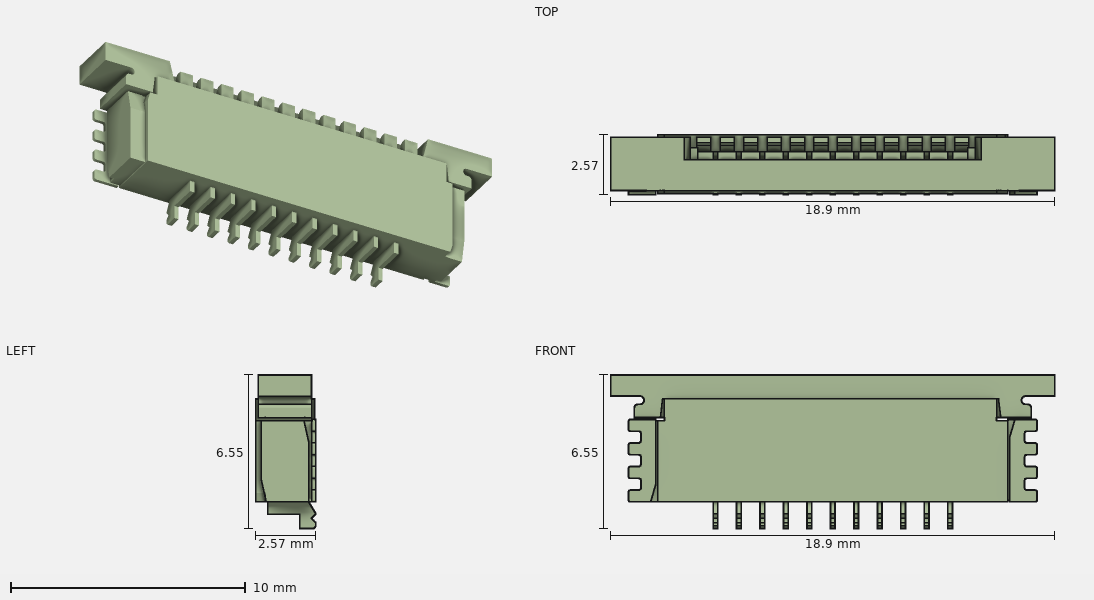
import cadquery as cq
import math


HOUSING_HALF_WIDTH = 7.45
HOUSING_FRONT_Y = 0.05
HOUSING_BACK_Y = 2.57
HOUSING_TOP_Z = 4.4
SHOULDER_Z = 3.46
HEAD_LEFT_X = -7.17
HEAD_RIGHT_X = 6.99
CORNER_CUT_WIDTH = 0.11
CORNER_CUT_HEIGHT = 0.38
CORNER_CUT_FRONT_Y = 2.15

BAR_LENGTH = 18.93
BAR_HALF_LENGTH = BAR_LENGTH / 2
BAR_TOP_Z = 5.41
BAR_HEIGHT = 0.9
BAR_BOTTOM_Z = BAR_TOP_Z - BAR_HEIGHT
BAR_FRONT_Y = 0.19
BAR_BACK_Y = 2.46
TAB_OUTER_X = 8.46
TAB_BOTTOM_Z = 3.6
TAB_CORNER_RADIUS = 0.17
TAB_CLEARANCE_TOP = 0.08
TAB_CLEARANCE_BOTTOM = 0.17
GRIP_EDGE_X = 8.2
GRIP_DEPTH = 0.15
GRIP_HEIGHT = 0.35
WEB_FRONT_Y = 0.47
WEB_BACK_Y = 2.15

WINDOW_HALF_WIDTH_TOP = 6.32
WINDOW_HALF_WIDTH_BOTTOM = 6.08
WINDOW_FRONT_Y = 1.5
LEDGE_INNER_X = 5.75
LEDGE_BACK_Y = 2.0
LEDGE_TOP_Z = 4.85
TONGUE_BACK_Y = 1.84
TONGUE_TOP_Z = 4.92

CONTACT_COUNT = 11
CONTACT_PITCH = 1.0
CONTACT_WIDTH = 0.2
CONTACT_ROOT_Z = 0.19
TAIL_FRONT_Y = 0.3
TAIL_BACK_Y = 2.06
TAIL_STEP_Z = -0.53
FOOT_BACK_Y = 0.7
FOOT_BOTTOM_Z = -1.14
FOOT_BEVEL_WIDTH = 0.1
FOOT_BEVEL_HEIGHT = 0.11
FOOT_UPPER_POINT_Z = -0.51
FOOT_LOWER_POINT_Z = -0.89
FOOT_NOTCH_DEPTH = 0.19
FINGER_WIDTH = 0.6
FINGER_TOP_Z = 5.05
FINGER_STEP_Y = 2.12
FINGER_STEP_Z = 5.0
FINGER_FLAT_Y = 2.23

NAIL_INNER_X = 7.53
NAIL_OUTER_X = 8.7
NAIL_HEIGHT = 3.52
NAIL_THICKNESS = 0.17
NAIL_TOOTH_COUNT = 4
NAIL_TOOTH_PITCH = 1.0
NAIL_TOOTH_HEIGHT = NAIL_HEIGHT - NAIL_TOOTH_PITCH * (NAIL_TOOTH_COUNT - 1)
NAIL_SLOT_BOTTOM_X = 8.18
NAIL_CORNER_RADIUS = 0.1
NAIL_BEVEL_WIDTH = 0.23
NAIL_BEVEL_HEIGHT = 0.78
WING_FRONT_Y = 0.3
WING_BACK_Y = 2.33
WING_TAPER = 0.2
WING_TAPER_HEIGHT = 0.95
NECK_OUTER_X = 7.95


def box(x0, x1, y0, y1, z0, z1):
    """Axis-aligned block between two opposite corners."""
    return cq.Workplane("XY").box(x1 - x0, y1 - y0, z1 - z0, centered=False).translate((x0, y0, z0))


def extrude_along_y(points, y0, y1):
    """Prism between y0 and y1 from an outline of (x, z) points."""
    return cq.Workplane("XZ", origin=(0, y0, 0)).polyline(points).close().extrude(y0 - y1)


def extrude_along_x(points, x0, x1):
    """Prism between x0 and x1 from an outline of (y, z) points."""
    return cq.Workplane("YZ", origin=(x0, 0, 0)).polyline(points).close().extrude(x1 - x0)


def row_positions(count):
    """X positions of a centred row at the contact pitch."""
    return [(i - (count - 1) / 2) * CONTACT_PITCH for i in range(count)]


def turn_about_y(body, height):
    """Turn a left-hand body half a turn about Y so that its 0..height span stays in place."""
    return body.rotate((0, 0, height / 2), (0, 1, height / 2), 180)


def make_housing():
    """Stepped block, with a sloping cut on one rear corner of each side."""
    body = box(-HOUSING_HALF_WIDTH, HOUSING_HALF_WIDTH, HOUSING_FRONT_Y, HOUSING_BACK_Y, 0, SHOULDER_Z)
    head = box(HEAD_LEFT_X, HEAD_RIGHT_X, HOUSING_FRONT_Y, HOUSING_BACK_Y, 0, HOUSING_TOP_Z)
    corner_cut = extrude_along_y(
        [
            (-HOUSING_HALF_WIDTH, 0),
            (-HOUSING_HALF_WIDTH + CORNER_CUT_WIDTH, 0),
            (-HOUSING_HALF_WIDTH, CORNER_CUT_HEIGHT),
        ],
        CORNER_CUT_FRONT_Y,
        HOUSING_BACK_Y,
    )
    return body.union(head).cut(corner_cut).cut(turn_about_y(corner_cut, SHOULDER_Z))


def make_tab(head_x):
    """Right-hand actuator end and tab, next to the housing head edge at head_x."""
    grip_bottom_z = BAR_BOTTOM_Z - GRIP_HEIGHT
    corner_mid = TAB_CORNER_RADIUS * (1 - math.sqrt(0.5))
    return (
        cq.Workplane("XZ", origin=(0, BAR_FRONT_Y, 0))
        .moveTo(0, BAR_TOP_Z)
        .lineTo(BAR_HALF_LENGTH, BAR_TOP_Z)
        .lineTo(BAR_HALF_LENGTH, BAR_BOTTOM_Z)
        .lineTo(GRIP_EDGE_X, BAR_BOTTOM_Z)
        .threePointArc(
            (GRIP_EDGE_X - GRIP_DEPTH, BAR_BOTTOM_Z - GRIP_HEIGHT / 2),
            (GRIP_EDGE_X, grip_bottom_z),
        )
        .lineTo(TAB_OUTER_X - TAB_CORNER_RADIUS, grip_bottom_z)
        .threePointArc(
            (TAB_OUTER_X - corner_mid, grip_bottom_z - corner_mid),
            (TAB_OUTER_X, grip_bottom_z - TAB_CORNER_RADIUS),
        )
        .lineTo(TAB_OUTER_X, TAB_BOTTOM_Z)
        .lineTo(head_x + TAB_CLEARANCE_BOTTOM, TAB_BOTTOM_Z)
        .lineTo(head_x + TAB_CLEARANCE_TOP, HOUSING_TOP_Z)
        .lineTo(0, HOUSING_TOP_Z)
        .close()
        .extrude(BAR_FRONT_Y - BAR_BACK_Y)
    )


def make_actuator():
    """Bar with two tabs, a tapered rear window, and the tongue and ledges inside the window."""
    right = make_tab(HEAD_RIGHT_X)
    left = make_tab(-HEAD_LEFT_X).mirror("YZ")
    window = extrude_along_y(
        [
            (-WINDOW_HALF_WIDTH_TOP, BAR_TOP_Z),
            (WINDOW_HALF_WIDTH_TOP, BAR_TOP_Z),
            (WINDOW_HALF_WIDTH_BOTTOM, HOUSING_TOP_Z),
            (-WINDOW_HALF_WIDTH_BOTTOM, HOUSING_TOP_Z),
        ],
        WINDOW_FRONT_Y,
        BAR_BACK_Y,
    )
    actuator = right.union(left).cut(window)

    tongue = box(-LEDGE_INNER_X, LEDGE_INNER_X, WINDOW_FRONT_Y, TONGUE_BACK_Y, HOUSING_TOP_Z, TONGUE_TOP_Z)
    for x in row_positions(CONTACT_COUNT):
        channel = extrude_along_x(
            [
                (WINDOW_FRONT_Y, HOUSING_TOP_Z),
                (TONGUE_BACK_Y, TONGUE_TOP_Z),
                (WINDOW_FRONT_Y, TONGUE_TOP_Z),
            ],
            x - CONTACT_WIDTH / 2,
            x + CONTACT_WIDTH / 2,
        )
        tongue = tongue.cut(channel)
    ledge = box(
        LEDGE_INNER_X, WINDOW_HALF_WIDTH_BOTTOM, WINDOW_FRONT_Y, LEDGE_BACK_Y, HOUSING_TOP_Z, LEDGE_TOP_Z
    )
    actuator = actuator.union(tongue).union(ledge).union(ledge.mirror("YZ"))

    for head_x in (HEAD_LEFT_X, HEAD_RIGHT_X):
        reach = math.copysign(TAB_CLEARANCE_BOTTOM, head_x)
        x0, x1 = sorted((head_x, head_x + reach))
        actuator = actuator.union(box(x0, x1, WEB_FRONT_Y, WEB_BACK_Y, TAB_BOTTOM_Z, HOUSING_TOP_Z))
    return actuator


def make_fingers():
    """Row of sloped fingers standing on the rear of the housing."""
    profile = [
        (BAR_BACK_Y, HOUSING_TOP_Z),
        (BAR_BACK_Y, FINGER_TOP_Z),
        (FINGER_FLAT_Y, FINGER_TOP_Z),
        (FINGER_STEP_Y, FINGER_STEP_Z),
        (TONGUE_BACK_Y, HOUSING_TOP_Z),
    ]
    fingers = cq.Workplane("XY")
    for x in row_positions(CONTACT_COUNT + 1):
        fingers = fingers.union(extrude_along_x(profile, x - FINGER_WIDTH / 2, x + FINGER_WIDTH / 2))
    return fingers


def make_contacts():
    """Row of contact tails, each with a notched solder foot on the mounting plane."""
    notch_z = (FOOT_UPPER_POINT_Z + FOOT_LOWER_POINT_Z) / 2
    profile = [
        (TAIL_BACK_Y, CONTACT_ROOT_Z),
        (TAIL_BACK_Y, TAIL_STEP_Z),
        (FOOT_BACK_Y, TAIL_STEP_Z),
        (FOOT_BACK_Y, FOOT_BOTTOM_Z),
        (FOOT_BEVEL_WIDTH, FOOT_BOTTOM_Z),
        (0, FOOT_BOTTOM_Z + FOOT_BEVEL_HEIGHT),
        (0, FOOT_LOWER_POINT_Z),
        (FOOT_NOTCH_DEPTH, notch_z),
        (0, FOOT_UPPER_POINT_Z),
        (TAIL_FRONT_Y, 0),
        (TAIL_FRONT_Y, CONTACT_ROOT_Z),
    ]
    contacts = cq.Workplane("XY")
    for x in row_positions(CONTACT_COUNT):
        contacts = contacts.union(extrude_along_x(profile, x - CONTACT_WIDTH / 2, x + CONTACT_WIDTH / 2))
    return contacts


def make_left_nail():
    """Toothed solder plate with a bevelled lower inner corner, and the wing behind it."""
    plate = extrude_along_y(
        [
            (-NAIL_SLOT_BOTTOM_X, 0),
            (-NAIL_INNER_X - NAIL_BEVEL_WIDTH, 0),
            (-NAIL_INNER_X, NAIL_BEVEL_HEIGHT),
            (-NAIL_INNER_X, NAIL_HEIGHT),
            (-NAIL_SLOT_BOTTOM_X, NAIL_HEIGHT),
        ],
        0,
        NAIL_THICKNESS,
    )
    for i in range(NAIL_TOOTH_COUNT):
        z0 = i * NAIL_TOOTH_PITCH
        tooth = box(-NAIL_OUTER_X, -NAIL_SLOT_BOTTOM_X, 0, NAIL_THICKNESS, z0, z0 + NAIL_TOOTH_HEIGHT)
        plate = plate.union(tooth.edges("|Y and <X").fillet(NAIL_CORNER_RADIUS))
    slot_bottoms = cq.selectors.BoxSelector(
        (-NAIL_SLOT_BOTTOM_X - NAIL_CORNER_RADIUS, 0, 0),
        (-NAIL_SLOT_BOTTOM_X + NAIL_CORNER_RADIUS, NAIL_THICKNESS, NAIL_HEIGHT),
    )
    plate = plate.edges("|Y").edges(slot_bottoms).fillet(NAIL_CORNER_RADIUS)

    wing = extrude_along_x(
        [
            (WING_FRONT_Y, 0),
            (WING_BACK_Y - WING_TAPER, 0),
            (WING_BACK_Y, WING_TAPER_HEIGHT),
            (WING_BACK_Y, SHOULDER_Z),
            (WING_FRONT_Y + WING_TAPER, SHOULDER_Z),
            (WING_FRONT_Y, SHOULDER_Z - WING_TAPER_HEIGHT),
        ],
        -NAIL_SLOT_BOTTOM_X,
        -HOUSING_HALF_WIDTH,
    )
    neck_back_y = WING_FRONT_Y + WING_TAPER
    neck = box(-NECK_OUTER_X, -HOUSING_HALF_WIDTH, NAIL_THICKNESS, neck_back_y, 0, SHOULDER_Z)
    return plate.union(wing).union(neck)


left_nail = make_left_nail()
right_nail = turn_about_y(left_nail, NAIL_HEIGHT)

result = (
    make_housing()
    .union(make_actuator())
    .union(make_fingers())
    .union(make_contacts())
    .union(left_nail)
    .union(right_nail)
)